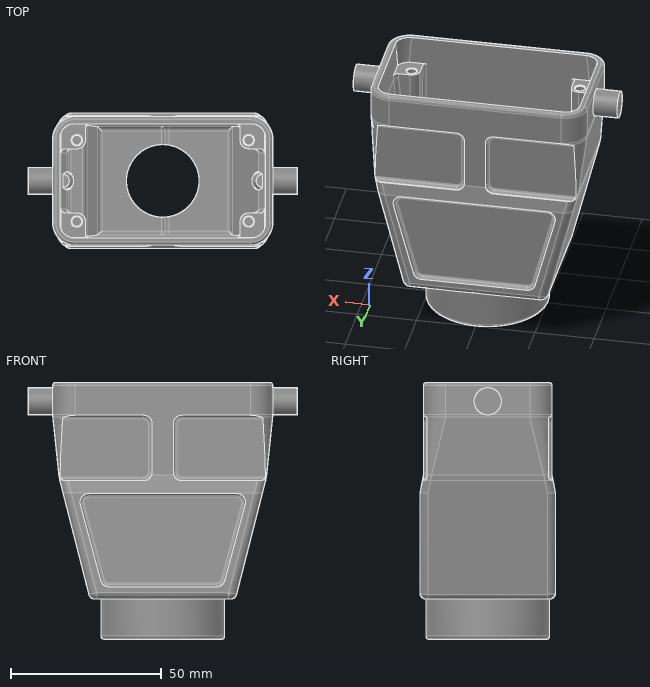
import cadquery as cq
import math

total_height = 85.1
body_bottom = 13.3
flare_bottom = 48.4
waist = 53.5
waist_bend = 0.9
band_bottom = 74.0
band_bend = 0.45

top_length = 73.0
waist_length = 68.7
bottom_length = 48.2
upper_width = 42.6
lower_width = 45.0
top_corner_radius = 7.4
lower_corner_radius = 2.8
bottom_edge_radius = 2.1
rim_radius = 1.1

neck_diameter = 41.0
neck_edge_radius = 1.1
bore_diameter = 24.0

pin_diameter = 9.0
pin_span = 89.2
pin_height = 78.85

panel_depth = 1.25
panel_draft = 35.0
panel_corner_radius = 2.85
panel_floor_radius = 0.6
upper_panel_gap = 7.05
upper_panel_bottom = 52.5
upper_panel_top = 74.2
lower_panel_bottom = 17.4
lower_panel_top = 48.3
lower_panel_top_length = 56.55
lower_panel_bottom_length = 40.0

mouth_length = 68.15
mouth_width = 37.8
mouth_corner_radius = 4.8
wall = 2.6
low_floor = body_bottom + 2.7
high_floor = low_floor + 2.3
floor_step_x = 0.8
floor_step_run = 0.5
floor_step_radius = 1.25
mouth_draft = 0.45
floor_width = 35.9
floor_radius = 1.4
ledge_height = 50.8
ledge_top_edge = 25.2
ledge_bottom_edge = 21.4
ledge_edge_radius = 1.4
ledge_corner_radius = 0.9

post_top = 75.6
post_spacing_x = 56.9
post_spacing_y = 26.9
post_radius = 2.85
post_side_fillet = 0.9
post_end_fillet = 1.3
screw_hole_diameter = 3.2
screw_hole_depth = 17.8
screw_chamfer = 0.3
screw_chamfer_angle = 45.0

boss_axis = 33.1
boss_top = 67.8
boss_top_radius = 2.1
boss_bottom_radius = 3.6

edge_slack = 0.1


def rounded_section(height, length, width, radius):
    """Closed rounded rectangle lying at the given height."""
    slab = cq.Workplane("XY", origin=(0, 0, height)).rect(length, width).extrude(wall)
    return slab.edges("|Z").fillet(radius).faces("<Z").wires().val()


def length_below_waist(height):
    """Outer length of the tapered lower body at the given height."""
    share = (height - body_bottom) / (waist - body_bottom)
    return bottom_length + share * (waist_length - bottom_length)


def length_above_waist(height):
    """Outer length of the tapered part between the waist and the band."""
    share = (height - waist) / (band_bottom - waist)
    return waist_length + share * (top_length - waist_length)


def outer_body():
    flare_top = waist + waist_bend
    bend_bottom = waist - waist_bend
    flare_share = (bend_bottom - flare_bottom) / (flare_top - flare_bottom)
    bend_width = lower_width + flare_share * (upper_width - lower_width)
    taper_top = band_bottom - band_bend
    sections = [
        (body_bottom, bottom_length, lower_width, lower_corner_radius),
        (flare_bottom, length_below_waist(flare_bottom), lower_width, lower_corner_radius),
        (bend_bottom, length_below_waist(bend_bottom), bend_width, lower_corner_radius),
        (flare_top, length_above_waist(flare_top), upper_width, lower_corner_radius),
        (taper_top, length_above_waist(taper_top), upper_width, top_corner_radius),
        (band_bottom + band_bend, top_length, upper_width, top_corner_radius),
        (total_height, top_length, upper_width, top_corner_radius),
    ]
    wires = [rounded_section(*section) for section in sections]
    body = cq.Workplane(cq.Solid.makeLoft(wires, True))
    body = body.faces(">Z").edges().fillet(rim_radius)
    return body.faces("<Z").edges().fillet(bottom_edge_radius)


def neck():
    tube = cq.Workplane("XY").circle(neck_diameter / 2).extrude(low_floor)
    return tube.faces("<Z").edges().fillet(neck_edge_radius)


def panel_cutter(points, face_y):
    """Drafted recess sunk into the -Y face from the outline at face_y."""
    prism = cq.Workplane("XZ", origin=(0, face_y, 0)).polyline(points).close()
    prism = prism.extrude(-panel_depth).edges("|Y").fillet(panel_corner_radius)
    outline = prism.faces("<Y").wires().val()
    recess = cq.Workplane("XZ", origin=(0, face_y, 0)).add(outline).toPending()
    recess = recess.extrude(-panel_depth, taper=panel_draft)
    recess = recess.faces(">Y").edges().fillet(panel_floor_radius)
    mouth = cq.Workplane("XZ", origin=(0, face_y, 0)).add(outline).toPending().extrude(wall)
    return recess.union(mouth)


def panels():
    inner = upper_panel_gap / 2
    outer = top_length / 2 + 2 * panel_corner_radius
    right_upper = panel_cutter(
        [(inner, upper_panel_bottom), (outer, upper_panel_bottom),
         (outer, upper_panel_top), (inner, upper_panel_top)],
        -upper_width / 2,
    )
    half_top = lower_panel_top_length / 2
    half_bottom = lower_panel_bottom_length / 2
    lower = panel_cutter(
        [(-half_bottom, lower_panel_bottom), (half_bottom, lower_panel_bottom),
         (half_top, lower_panel_top), (-half_top, lower_panel_top)],
        -lower_width / 2,
    )
    front = right_upper.union(right_upper.mirror("YZ")).union(lower)
    return front.union(front.mirror("XZ"))


def pins():
    return cq.Workplane("YZ", origin=(-pin_span / 2, 0, 0)).center(0, pin_height).circle(
        pin_diameter / 2).extrude(pin_span)


def post(x, y):
    """Corner post whose inward corner is rounded about the screw axis."""
    reach = 17.8
    x_dir = math.copysign(1, x)
    y_dir = math.copysign(1, y)
    block = (
        cq.Workplane("XY")
        .center(x + x_dir * (reach / 2 - post_radius), y + y_dir * (reach / 2 - post_radius))
        .rect(reach, reach).extrude(post_top)
    )
    inward = ("<X" if x > 0 else ">X", "<Y" if y > 0 else ">Y")
    return block.faces(inward[0]).edges(inward[1]).fillet(post_radius)


def boss(side):
    """Tapered boss on an end wall, widening downwards."""
    return (
        cq.Workplane("XY", origin=(side * boss_axis, 0, ledge_height)).circle(boss_bottom_radius)
        .workplane(offset=boss_top - ledge_height).circle(boss_top_radius).loft()
    )


def round_floor(room, step_edges, floor_half):
    """Round both edges of the floor step, then the rim of the floor."""
    for x, z in step_edges:
        step_edge = cq.selectors.NearestToPointSelector((x, 0, z))
        room = room.edges(step_edge).fillet(floor_step_radius)
    bottom = low_floor - edge_slack
    top = high_floor + edge_slack
    inner_x = ledge_bottom_edge - edge_slack
    inner_y = floor_width / 2 - edge_slack
    outer_x = floor_half + edge_slack
    outer_y = mouth_width / 2
    box = cq.selectors.BoxSelector
    rim = (
        box((-outer_x, -outer_y, bottom), (outer_x, -inner_y, top))
        + box((-outer_x, inner_y, bottom), (outer_x, outer_y, top))
        + box((-outer_x, -outer_y, bottom), (-inner_x, outer_y, top))
        + box((inner_x, -outer_y, bottom), (outer_x, outer_y, top))
    )
    return room.edges(rim).fillet(floor_radius)


def blend_posts(room):
    """Round the vertical inside corners where the posts meet the cavity walls."""
    post_x = post_spacing_x / 2 - post_radius
    post_y = post_spacing_y / 2 - post_radius
    for x in (-1, 1):
        for y in (-1, 1):
            side_wall = cq.selectors.BoxSelector(
                (x * post_x - edge_slack, y * floor_width / 2, waist - wall),
                (x * post_x + edge_slack, y * mouth_width / 2, post_top - wall))
            room = room.edges(side_wall).fillet(post_side_fillet)
            end_wall = cq.selectors.BoxSelector(
                (x * (post_x + post_radius + edge_slack), y * post_y - edge_slack, waist),
                (x * (mouth_length / 2 - mouth_draft), y * post_y + edge_slack, post_top - wall))
            room = room.edges(end_wall).fillet(post_end_fillet)
    return room


def cavity():
    mouth_half = mouth_length / 2
    waist_half = waist_length / 2 - wall
    floor_half = length_below_waist(high_floor) / 2 - wall
    step_foot = floor_step_x - floor_step_run / 2
    step_head = floor_step_x + floor_step_run / 2
    band_half = mouth_half - mouth_draft
    ledge_half = length_below_waist(ledge_height) / 2 - wall
    end_profile = [
        (mouth_half, total_height), (band_half, band_bottom), (waist_half, waist),
        (floor_half, high_floor), (step_head, high_floor), (step_foot, low_floor),
        (-ledge_bottom_edge, low_floor),
        (-ledge_top_edge, ledge_height), (-ledge_half, ledge_height),
        (-waist_half, waist), (-band_half, band_bottom), (-mouth_half, total_height),
    ]
    side_profile = [
        (-mouth_width / 2, total_height), (mouth_width / 2, total_height),
        (floor_width / 2, low_floor), (-floor_width / 2, low_floor),
    ]
    room = cq.Workplane("XZ").polyline(end_profile).close().extrude(mouth_width / 2, both=True)
    room = room.intersect(
        cq.Workplane("YZ").polyline(side_profile).close().extrude(mouth_half, both=True))
    mouth = cq.Workplane("XY").rect(mouth_length, mouth_width).extrude(total_height)
    room = room.intersect(mouth.edges("|Z").fillet(mouth_corner_radius))
    room = round_floor(room, [(step_foot, low_floor), (step_head, high_floor)], floor_half)
    ledge_edge = cq.selectors.NearestToPointSelector((-ledge_top_edge, 0, ledge_height))
    room = room.edges(ledge_edge).fillet(ledge_edge_radius)
    ledge_corner = cq.selectors.NearestToPointSelector((-ledge_half, 0, ledge_height))
    room = room.edges(ledge_corner).fillet(ledge_corner_radius)
    for x in (-post_spacing_x / 2, post_spacing_x / 2):
        for y in (-post_spacing_y / 2, post_spacing_y / 2):
            room = room.cut(post(x, y))
    room = blend_posts(room)
    for side in (-1, 1):
        room = room.cut(boss(side))
    return room


def screw_holes():
    """Blind holes down the posts, chamfered at the mouth."""
    radius = screw_hole_diameter / 2
    centers = cq.Workplane("XY", origin=(0, 0, post_top)).rarray(post_spacing_x, post_spacing_y, 2, 2)
    hole = centers.circle(radius).extrude(-screw_hole_depth)
    countersink = centers.circle(radius + screw_chamfer).extrude(-screw_chamfer, taper=screw_chamfer_angle)
    return hole.union(countersink)


shell = outer_body().cut(panels()).union(neck()).union(pins())
bore = cq.Workplane("XY").circle(bore_diameter / 2).extrude(total_height)
result = shell.cut(cavity()).cut(screw_holes()).cut(bore)